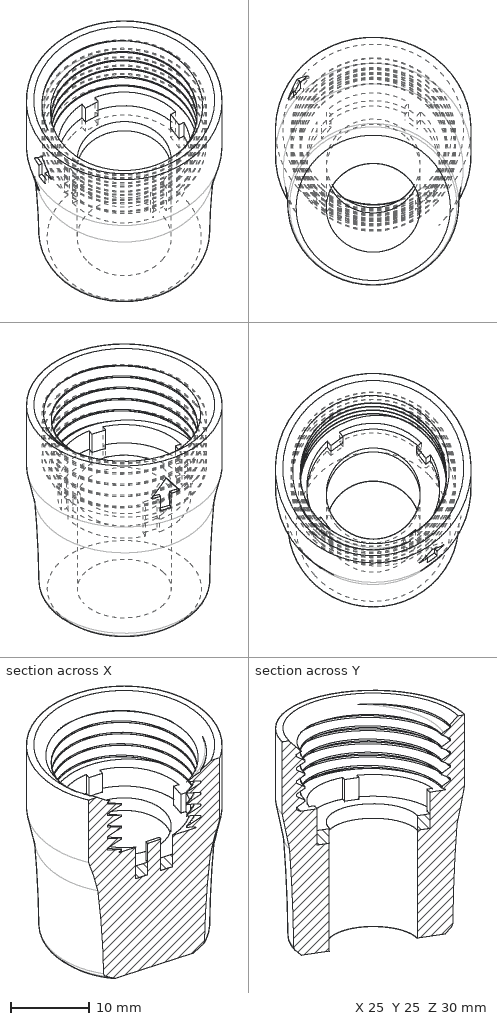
import cadquery as cq
import math

height = 30.0
collar_bottom = 20.0
taper_bottom = 15.0
edge_round_top = 1.4
ledge_height = collar_bottom
seat_height = taper_bottom
washer_thickness = 2.0

collar_diameter = 25.0
collar_radius = collar_diameter / 2
waist_radius = 11.5
waist_mid_radius = 11.1
foot_radius = 10.92
edge_round_radius = 0.8

mouth_radius = 11.55
bore_radius = 6.0
seat_radius = 8.5

crest_radius = 9.33
root_radius = 10.5
pitch = 1.83
crest_width = 0.25
root_width = 0.25
thread_start = 18.6
thread_turns = 5.8
groove_overlap = 0.15

key_count = 4
key_tip_radius = 7.68
key_width = 1.95

arrow_tip = 27.05
arrow_shoulder = 24.3
arrow_tail = 22.02
arrow_head_width = 3.95
arrow_stem_width = 1.47
arrow_depth = 0.5


def make_outside():
    """Collar, taper, slightly hollow lower body and rounded, bevelled foot."""
    diagonal = math.sqrt(0.5)
    round_mid = math.radians(22.5)
    round_centre = foot_radius - edge_round_radius
    bevel_radius = round_centre + edge_round_radius * diagonal
    bevel_top = edge_round_top - edge_round_radius * diagonal
    return (
        cq.Workplane("XZ")
        .lineTo(bevel_radius - bevel_top, 0)
        .lineTo(bevel_radius, bevel_top)
        .threePointArc(
            (
                round_centre + edge_round_radius * math.cos(round_mid),
                edge_round_top - edge_round_radius * math.sin(round_mid),
            ),
            (foot_radius, edge_round_top),
        )
        .threePointArc(
            (waist_mid_radius, (edge_round_top + taper_bottom) / 2),
            (waist_radius, taper_bottom),
        )
        .lineTo(collar_radius, collar_bottom)
        .lineTo(collar_radius, height)
        .lineTo(0, height)
        .close()
        .revolve(360, (0, 0, 0), (0, 1, 0))
    )


def make_cavity():
    """45 degree conical mouth, thread bore, washer seat and through bore."""
    mouth_depth = mouth_radius - crest_radius
    return (
        cq.Workplane("XZ")
        .lineTo(bore_radius, 0)
        .lineTo(bore_radius, seat_height)
        .lineTo(seat_radius, seat_height)
        .lineTo(seat_radius, ledge_height)
        .lineTo(crest_radius, ledge_height)
        .lineTo(crest_radius, height - mouth_depth)
        .lineTo(mouth_radius, height)
        .lineTo(0, height)
        .close()
        .revolve(360, (0, 0, 0), (0, 1, 0))
    )


def make_thread_groove():
    """Right-hand V groove, running past both ends of the thread."""
    half_opening = (pitch - crest_width) / 2
    half_root = root_width / 2
    flank_rise = (half_opening - half_root) / (root_radius - crest_radius)
    half_inner = half_opening + flank_rise * groove_overlap
    inner_radius = crest_radius - groove_overlap
    path = cq.Wire.makeHelix(pitch, pitch * thread_turns, crest_radius)
    return (
        cq.Workplane("XZ")
        .polyline(
            [
                (inner_radius, -half_inner),
                (root_radius, -half_root),
                (root_radius, half_root),
                (inner_radius, half_inner),
            ]
        )
        .close()
        .sweep(cq.Workplane(path), isFrenet=True)
        .translate((0, 0, thread_start))
    )


def make_keys():
    """Four keys standing inward from the wall of the washer seat."""
    key_height = ledge_height - seat_height
    seat_disc = cq.Workplane("XY", origin=(0, 0, seat_height)).circle(seat_radius).extrude(key_height)
    key_length = seat_radius - key_tip_radius
    blocks = (
        cq.Workplane("XY", origin=(0, 0, seat_height))
        .polarArray((seat_radius + key_tip_radius) / 2, 0, 360, key_count)
        .rect(key_length, key_width)
        .extrude(key_height)
    )
    return blocks.intersect(seat_disc)


def make_arrow_pocket():
    """Flat-bottomed arrow pointing up, sunk into the collar."""
    half_head = arrow_head_width / 2
    half_stem = arrow_stem_width / 2
    return (
        cq.Workplane("XZ", origin=(0, arrow_depth - collar_radius, 0))
        .polyline(
            [
                (0, arrow_tip),
                (half_head, arrow_shoulder),
                (half_stem, arrow_shoulder),
                (half_stem, arrow_tail),
                (-half_stem, arrow_tail),
                (-half_stem, arrow_shoulder),
                (-half_head, arrow_shoulder),
            ]
        )
        .close()
        .extrude(arrow_depth)
    )


def make_housing():
    """Plain lower part and threaded collar, joined at the ledge into one solid."""
    bored = make_outside().cut(make_cavity())
    collar_envelope = (
        cq.Workplane("XY", origin=(0, 0, ledge_height))
        .circle(2 * collar_radius)
        .extrude(height - ledge_height)
    )
    lower = bored.cut(collar_envelope).union(make_keys())
    collar = bored.intersect(collar_envelope).cut(make_thread_groove()).cut(make_arrow_pocket())
    return lower.union(collar)


def make_washer():
    """Flat washer on the seat, notched around the keys."""
    ring = (
        cq.Workplane("XY", origin=(0, 0, seat_height))
        .circle(seat_radius)
        .circle(bore_radius)
        .extrude(washer_thickness)
    )
    return ring.cut(make_keys())


housing = make_housing()
washer = make_washer()
result = cq.Compound.makeCompound([housing.val(), washer.val()])